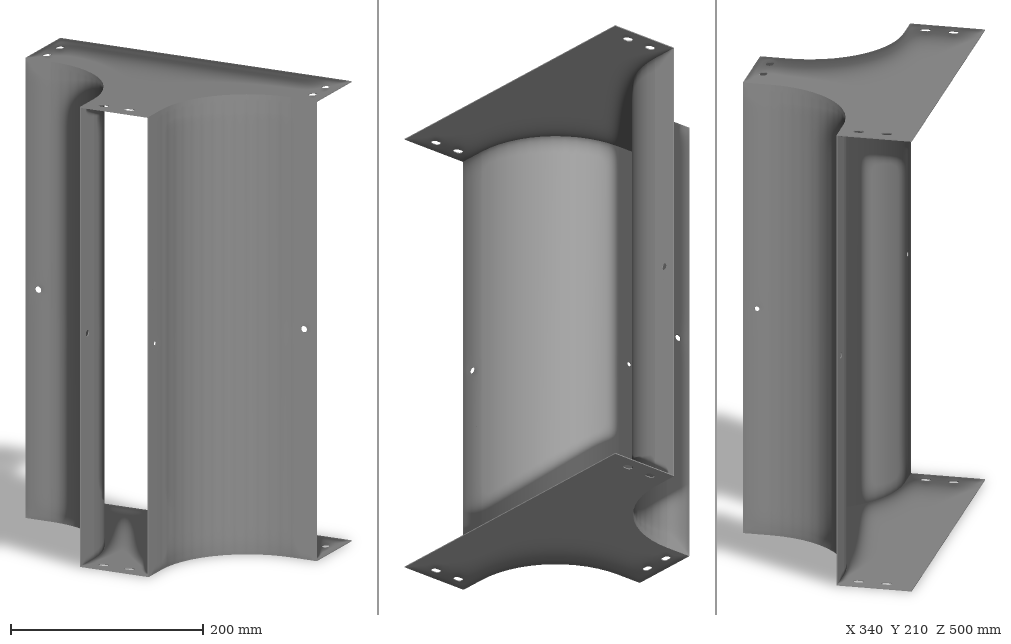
import cadquery as cq

height = 500.0
arm_width = 80.0
bend_radius = 100.0
straight_length = 30.0
thickness = 1.0

half_neck = arm_width / 2
half_length = half_neck + bend_radius + straight_length
depth = arm_width + bend_radius + straight_length
back_y = depth / 2
front_y = -depth / 2
wall_y = back_y - arm_width
bend_end_y = wall_y - bend_radius
bend_end_x = half_neck + bend_radius

slot_width = 7.5
slot_length = 11.0
slot_edge_distance = 15.0
slot_wall_distance = 20.0
slot_pitch = 30.0
wall_hole_diameter = 7.0
small_hole_diameter = 5.0
wall_hole_edge_distance = straight_length / 2


def t_plate(plate_thickness):
    """T-shaped sheet with concave corners, bottom face at Z = 0."""
    return (
        cq.Workplane("XY")
        .moveTo(-half_length, back_y)
        .lineTo(half_length, back_y)
        .lineTo(half_length, wall_y)
        .lineTo(bend_end_x, wall_y)
        .radiusArc((half_neck, bend_end_y), -bend_radius)
        .lineTo(half_neck, front_y)
        .lineTo(-half_neck, front_y)
        .lineTo(-half_neck, bend_end_y)
        .radiusArc((-bend_end_x, wall_y), -bend_radius)
        .lineTo(-half_length, wall_y)
        .close()
        .extrude(plate_thickness)
    )


def side_wall():
    """Full-height curved wall on the +X side, its sheet lying inside the T outline."""
    inner_radius = bend_radius + thickness
    return (
        cq.Workplane("XY")
        .moveTo(half_length, wall_y)
        .lineTo(bend_end_x, wall_y)
        .radiusArc((half_neck, bend_end_y), -bend_radius)
        .lineTo(half_neck, front_y)
        .lineTo(half_neck - thickness, front_y)
        .lineTo(half_neck - thickness, bend_end_y)
        .radiusArc((bend_end_x, wall_y + thickness), inner_radius)
        .lineTo(half_length, wall_y + thickness)
        .close()
        .extrude(height)
    )


def plate_slots():
    """Cutters for the slot pairs at the three open ends, through both plates."""
    offsets = [slot_wall_distance, slot_wall_distance + slot_pitch]
    slot_x = half_length - slot_edge_distance
    arm_points = [(side * slot_x, wall_y + offset) for side in (-1, 1) for offset in offsets]
    neck_points = [(-half_neck + offset, front_y + slot_edge_distance) for offset in offsets]
    arm_slots = cq.Workplane("XY").pushPoints(arm_points).slot2D(slot_length, slot_width, 90).extrude(height)
    neck_slots = cq.Workplane("XY").pushPoints(neck_points).slot2D(slot_length, slot_width).extrude(height)
    return arm_slots.union(neck_slots)


def wall_holes():
    """Cutters for the mid-height holes in the straight ends of both walls."""
    hole_x = half_length - wall_hole_edge_distance
    hole_y = front_y + wall_hole_edge_distance
    radius = wall_hole_diameter / 2
    arm_holes = (
        cq.Workplane("XZ")
        .pushPoints([(-hole_x, height / 2), (hole_x, height / 2)])
        .circle(radius)
        .extrude(depth, both=True)
    )
    neck_plane = cq.Workplane("YZ").center(hole_y, height / 2)
    left_neck_hole = neck_plane.circle(radius).extrude(-half_neck)
    right_neck_hole = neck_plane.circle(small_hole_diameter / 2).extrude(half_neck)
    return arm_holes.union(left_neck_hole).union(right_neck_hole)


bottom_plate = t_plate(thickness)
top_plate = bottom_plate.translate((0, 0, height - thickness))
right_wall = side_wall()
left_wall = right_wall.mirror("YZ")
body = bottom_plate.union(top_plate).union(right_wall).union(left_wall)

result = body.cut(plate_slots()).cut(wall_holes())